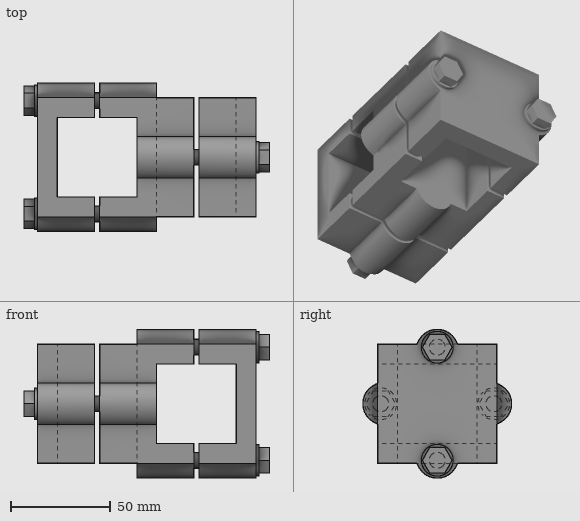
import cadquery as cq
import math

total_length = 123.8
total_width = 75.0
tube = 40.0
wall = 10.0
gap = 2.6

boss_radius = 10.5
boss_flank = 60.0

bolt_offset = 28.5
shank_diameter = 8.0
shank_grip = 14.9
washer_diameter = 16.0
washer_thickness = 1.6
head_flats = 13.0

block_side = tube + 2 * wall
block_half = block_side / 2
tube_center = wall / 2 + tube / 2
block_end = wall / 2 + tube + wall
block_length = 2 * block_end
washer_end = block_end + washer_thickness
head_height = total_length / 2 - washer_end
head_corners = head_flats / math.cos(math.radians(30))


def boss():
    """Rounded ridge on the +Y face, from the web to the +X end."""
    flank = math.radians(boss_flank)
    top = total_width / 2
    arc_y = top - boss_radius * (1 - math.cos(flank))
    arc_z = boss_radius * math.sin(flank)
    foot_z = arc_z + (arc_y - block_half) / math.tan(flank)
    return (
        cq.Workplane("YZ", origin=(-wall / 2, 0, 0))
        .moveTo(block_half - wall / 2, -foot_z)
        .lineTo(block_half, -foot_z)
        .lineTo(arc_y, -arc_z)
        .threePointArc((top, 0), (arc_y, arc_z))
        .lineTo(block_half, foot_z)
        .lineTo(block_half - wall / 2, foot_z)
        .close()
        .extrude(block_end + wall / 2)
    )


def bolt(head_angle):
    """Bolt along X with its head at +X; head_angle turns the hexagon about the bolt axis."""
    shank_start = tube_center - gap / 2 - shank_grip
    plane = cq.Workplane("YZ")
    shank = plane.workplane(offset=shank_start).circle(shank_diameter / 2)
    shank = shank.extrude(washer_end - shank_start)
    washer = plane.workplane(offset=block_end).circle(washer_diameter / 2).extrude(washer_thickness)
    head = plane.workplane(offset=washer_end).polygon(6, head_corners).extrude(head_height)
    head = head.rotate((0, 0, 0), (1, 0, 0), head_angle)
    return shank.union(washer).union(head).translate((0, bolt_offset, 0))


def clamp_gap():
    """Slab that splits the block and its bosses across the +X opening."""
    return cq.Workplane("XY").box(gap, total_width, total_width).translate((tube_center, 0, 0))


def around_x(shape, angle):
    return shape.rotate((0, 0, 0), (1, 0, 0), angle)


def to_minus_x(shape):
    return shape.rotate((0, 0, 0), (0, 0, 1), 180)


body = cq.Workplane("XY").box(block_length, block_side, block_side)
body = body.cut(cq.Workplane("XY").box(tube, block_side, tube).translate((tube_center, 0, 0)))
body = body.cut(cq.Workplane("XY").box(tube, tube, block_side).translate((-tube_center, 0, 0)))

for turn in (90, 270):
    body = body.union(around_x(boss(), turn))
for turn in (0, 180):
    body = body.union(to_minus_x(around_x(boss(), turn)))

body = body.cut(clamp_gap()).cut(to_minus_x(clamp_gap()))

for turn in (90, 270):
    body = body.union(around_x(bolt(-turn), turn))
for turn in (0, 180):
    body = body.union(to_minus_x(around_x(bolt(-turn), turn)))

result = body